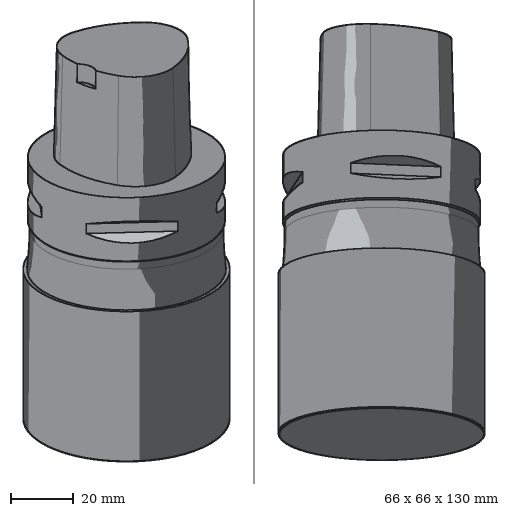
import cadquery as cq
import math

TOTAL_HEIGHT = 130.0
SLEEVE_HEIGHT = 52.8
NECK_TOP = 66.8
FLANGE_BOTTOM = 69.3
FLANGE_TOP = 92.0

SLEEVE_DIAMETER = 66.0
SLEEVE_CHAMFER = 0.4
FLANGE_DIAMETER = 63.0
NECK_DIAMETER = 62.0
NECK_BASE_DIAMETER = 63.6
FLANGE_CHAMFER = (FLANGE_DIAMETER - NECK_DIAMETER) / 2

LOBE_REACH = 23.4
SIDE_REACH = 20.4
LOBE_RADIUS = 15.0
LOBE_COUNT = 3
FIRST_LOBE_ANGLE = 90.0
SIDE_TAPER = 1 / 40
SHANK_INSET = (TOTAL_HEIGHT - FLANGE_TOP) * SIDE_TAPER

NOTCH_WIDTH = 7.9
NOTCH_HEIGHT = 6.4
NOTCH_RADIUS = 6.0
NOTCH_FLOOR_REACH = 17.8

GROOVE_COUNT = 4
FIRST_GROOVE_ANGLE = 45.0
GROOVE_MID_HEIGHT = 80.0
GROOVE_FLOOR_REACH = 28.0
GROOVE_FLOOR_HEIGHT = 3.4
GROOVE_MOUTH_HEIGHT = 7.7


def polar(radius, degrees):
    """Point at a distance and an angle from the axis."""
    angle = math.radians(degrees)
    return (radius * math.cos(angle), radius * math.sin(angle))


def lobed_outline(height, inset):
    """Wire of tangent lobe and side arcs, moved inward by the inset."""
    lobe_offset = LOBE_REACH - LOBE_RADIUS
    gap = SIDE_REACH - LOBE_RADIUS
    side_offset = (lobe_offset**2 - gap**2) / (2 * gap - lobe_offset)
    side_radius = SIDE_REACH + side_offset - inset

    half_pitch = 180 / LOBE_COUNT
    lobe_sideways = lobe_offset * math.sin(math.radians(half_pitch))
    joint_turn = math.degrees(math.asin(lobe_sideways / (gap + side_offset)))

    def side_joint(side_angle, turn):
        centre_x, centre_y = polar(-side_offset, side_angle)
        arm_x, arm_y = polar(side_radius, side_angle + turn)
        return (centre_x + arm_x, centre_y + arm_y)

    outline = cq.Workplane("XY", origin=(0, 0, height))
    outline = outline.moveTo(*side_joint(FIRST_LOBE_ANGLE - half_pitch, joint_turn))
    for index in range(LOBE_COUNT):
        lobe_angle = FIRST_LOBE_ANGLE + index * 2 * half_pitch
        side_angle = lobe_angle + half_pitch
        lobe_tip = polar(LOBE_REACH - inset, lobe_angle)
        side_middle = polar(SIDE_REACH - inset, side_angle)
        outline = outline.threePointArc(lobe_tip, side_joint(side_angle, -joint_turn))
        outline = outline.threePointArc(side_middle, side_joint(side_angle, joint_turn))
    return outline.close().val()


def make_sleeve():
    """Plain cylindrical lower body with a small bottom chamfer."""
    sleeve = cq.Workplane("XY").circle(SLEEVE_DIAMETER / 2).extrude(SLEEVE_HEIGHT)
    return sleeve.faces("<Z").chamfer(SLEEVE_CHAMFER)


def make_flange():
    """Revolved flange and neck; the neck flares out in an arc towards the sleeve."""
    neck_radius = NECK_DIAMETER / 2
    flange_radius = FLANGE_DIAMETER / 2
    return (
        cq.Workplane("XZ")
        .moveTo(0, FLANGE_TOP)
        .lineTo(flange_radius, FLANGE_TOP)
        .lineTo(flange_radius, FLANGE_BOTTOM + FLANGE_CHAMFER)
        .lineTo(neck_radius, FLANGE_BOTTOM)
        .lineTo(neck_radius, NECK_TOP)
        .tangentArcPoint((NECK_BASE_DIAMETER / 2, SLEEVE_HEIGHT), relative=False)
        .lineTo(0, SLEEVE_HEIGHT)
        .close()
        .revolve(360, (0, 0, 0), (0, 1, 0))
    )


def make_shank():
    """Tapered lobed shank above the flange."""
    base = lobed_outline(FLANGE_TOP, 0)
    top = lobed_outline(TOTAL_HEIGHT, SHANK_INSET)
    return cq.Workplane(cq.Solid.makeLoft([base, top], True))


def make_notch():
    """Cutter with a round back and parallel sides, open upwards and outwards."""
    notch_bottom = TOTAL_HEIGHT - NOTCH_HEIGHT
    round_back = (
        cq.Workplane("XY", origin=(0, 0, notch_bottom))
        .center(0, -NOTCH_FLOOR_REACH - NOTCH_RADIUS)
        .circle(NOTCH_RADIUS)
        .extrude(NOTCH_HEIGHT)
    )
    side_limits = cq.Workplane("XY", origin=(0, 0, notch_bottom)).rect(NOTCH_WIDTH, SLEEVE_DIAMETER)
    return round_back.intersect(side_limits.extrude(NOTCH_HEIGHT))


def make_groove(angle):
    """Straight cutter with a flat floor and flared flanks, at an angle about the axis."""
    flange_radius = FLANGE_DIAMETER / 2
    half_floor = GROOVE_FLOOR_HEIGHT / 2
    half_mouth = GROOVE_MOUTH_HEIGHT / 2
    groove = (
        cq.Workplane("XZ", origin=(0, 0, GROOVE_MID_HEIGHT))
        .moveTo(GROOVE_FLOOR_REACH, -half_floor)
        .lineTo(flange_radius, -half_mouth)
        .lineTo(flange_radius, half_mouth)
        .lineTo(GROOVE_FLOOR_REACH, half_floor)
        .close()
        .extrude(flange_radius, both=True)
    )
    return groove.rotate((0, 0, 0), (0, 0, 1), angle)


def make_holder():
    """Upper body: shank, flange and neck, with the notch and the grooves cut in."""
    holder = make_flange().union(make_shank()).cut(make_notch())
    for index in range(GROOVE_COUNT):
        holder = holder.cut(make_groove(FIRST_GROOVE_ANGLE + index * 360 / GROOVE_COUNT))
    return holder


sleeve = make_sleeve()
holder = make_holder()

result = cq.Compound.makeCompound([sleeve.val(), *holder.solids().vals()])